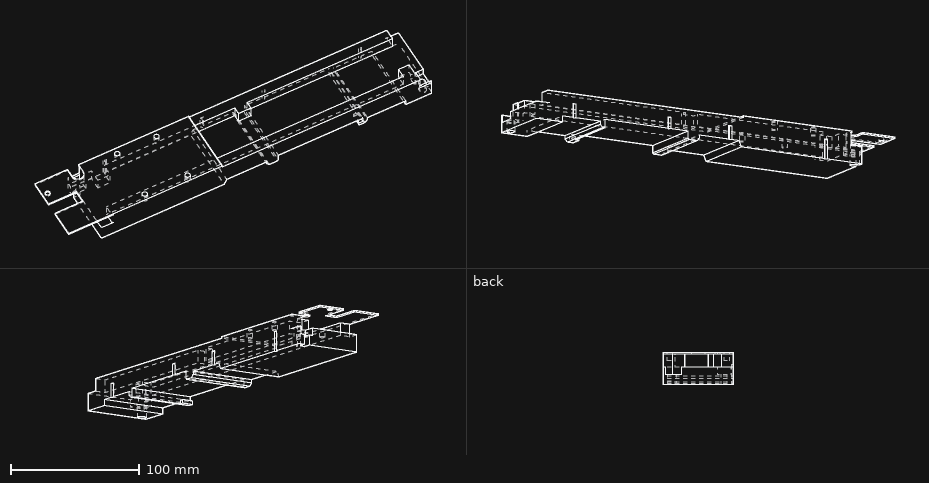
import cadquery as cq

WIDTH = 55.0
LENGTH = 323.5
HEIGHT = 25.2

BASE_FRONT = 29.0
BASE_TOP = 14.0
CORNER_RADIUS = 1.3

PLATE_THICKNESS = 1.3
WALL_TOP = HEIGHT - PLATE_THICKNESS
WALL_WIDTH = 9.5
WALL_FRONT = 38.8
WALL_REAR = 313.0

LEFT_PAD_REACH = 15.5
LEFT_PAD_Y = (172.7, 183.7)
FRONT_PAD_REACH = 19.7
FRONT_PAD_Y = (45.3, 56.3)
REAR_PAD_REACH = 17.0
REAR_PAD_Y = (302.5, 312.0)

LOW_RELIEF = 5.0
HIGH_RELIEF = 6.8
REAR_FOOT_FRONT = 299.7
FOOT_A_Y = (261.5, 265.8)
FOOT_B_Y = (176.2, 186.5)
FRONT_FOOT_REAR = 140.5
FOOT_CHAMFER = 2.3
FOOT_B_REAR_CHAMFER = 1.0
TOE_FRONT = 258.5
TOE_HEIGHT = 3.0

GROOVE_CENTERS = (62.0, 148.5, 203.5, 289.0)
GROOVE_WIDTH = 3.0
GROOVE_DEPTH = 1.5
GROOVE_TOP = 16.0

PLATE_REAR = 136.8
NOTCH_X = (22.3, 32.5)
NOTCH_DEPTH = 25.0
PLATE_HOLE = (12.5, 4.5)
PLATE_HOLE_DIAMETER = 4.0
SCREW_INSET = 5.2
SCREW_DIAMETER = 4.2
SCREW_DEPTH = 6.5
SCREW_FRONT_Y = 70.5
SCREW_LEFT_REAR_Y = 105.5
SCREW_RIGHT_REAR_Y = 108.5

LUG_FLOOR = 8.0
LUG_RIM = 2.0
FRONT_LUG_REACH = 12.5
FRONT_LUG_RADIUS = (WALL_FRONT - BASE_FRONT) / 2
FRONT_SLOT_X = 7.5
FRONT_SLOT_WIDTH = 5.0
FRONT_SLOT_REAR = 36.0
REAR_LUG_X = (40.5, WIDTH - LUG_RIM)
REAR_LUG_CORNER_X = 47.5
REAR_SLOT_CENTER = (48.0, 318.5)
REAR_SLOT_LENGTH = 7.0
REAR_SLOT_WIDTH = 5.5


def block(x_range, y_range, z_range):
    """Axis-aligned box given by its lower and upper limits."""
    return (
        cq.Workplane("XY", origin=(x_range[0], y_range[0], z_range[0]))
        .box(
            x_range[1] - x_range[0],
            y_range[1] - y_range[0],
            z_range[1] - z_range[0],
            centered=False,
        )
    )


def make_base():
    """Footed side profile swept across the width, with rounded end corners and a toe at one foot."""
    outline = [
        (BASE_FRONT, 0),
        (FRONT_FOOT_REAR - FOOT_CHAMFER, 0),
        (FRONT_FOOT_REAR, LOW_RELIEF),
        (FOOT_B_Y[0], LOW_RELIEF),
        (FOOT_B_Y[0], FOOT_CHAMFER),
        (FOOT_B_Y[0] + FOOT_CHAMFER, 0),
        (FOOT_B_Y[1] - FOOT_B_REAR_CHAMFER, 0),
        (FOOT_B_Y[1], FOOT_B_REAR_CHAMFER),
        (FOOT_B_Y[1], HIGH_RELIEF),
        (FOOT_A_Y[0], HIGH_RELIEF),
        (FOOT_A_Y[0], 0),
        (FOOT_A_Y[1] - FOOT_CHAMFER, 0),
        (FOOT_A_Y[1], FOOT_CHAMFER),
        (FOOT_A_Y[1], LOW_RELIEF),
        (REAR_FOOT_FRONT, LOW_RELIEF),
        (REAR_FOOT_FRONT, 0),
        (LENGTH, 0),
        (LENGTH, BASE_TOP),
        (BASE_FRONT, BASE_TOP),
    ]
    base = cq.Workplane("YZ").polyline(outline).close().extrude(WIDTH)
    base = base.edges("|Z and (<Y or >Y)").fillet(CORNER_RADIUS)
    toe_y = (TOE_FRONT, FOOT_A_Y[1] - FOOT_CHAMFER)
    toe = block((WIDTH - WALL_WIDTH, WIDTH), toe_y, (0, TOE_HEIGHT))
    return base.union(toe)


def make_walls():
    """Two long side walls with rounded outer corners, and the pads on their inner faces."""
    height = (BASE_TOP, WALL_TOP)
    left = block((0, WALL_WIDTH), (WALL_FRONT, WALL_REAR), height)
    right = block((WIDTH - WALL_WIDTH, WIDTH), (WALL_FRONT, WALL_REAR), height)
    left = left.edges("|Z and <X").fillet(CORNER_RADIUS)
    right = right.edges("|Z and >X").fillet(CORNER_RADIUS)
    left_pad = block((0, LEFT_PAD_REACH), LEFT_PAD_Y, height)
    front_pad = block((0, FRONT_PAD_REACH), FRONT_PAD_Y, height)
    rear_pad = block((WIDTH - REAR_PAD_REACH, WIDTH - WALL_WIDTH), REAR_PAD_Y, height)
    return left.union(right).union(left_pad).union(front_pad).union(rear_pad)


def make_plate():
    """Thin cover plate overhanging the front, with a notch and a small hole."""
    heights = (WALL_TOP, HEIGHT)
    plate = block((0, WIDTH), (0, PLATE_REAR), heights)
    plate = plate.cut(block(NOTCH_X, (0, NOTCH_DEPTH), heights))
    hole = (
        cq.Workplane("XY", origin=(0, 0, WALL_TOP))
        .center(*PLATE_HOLE)
        .circle(PLATE_HOLE_DIAMETER / 2)
        .extrude(PLATE_THICKNESS)
    )
    return plate.cut(hole)


def screw_holes():
    """Four blind holes through the cover plate into the walls."""
    left_x = SCREW_INSET
    right_x = WIDTH - SCREW_INSET
    points = [
        (left_x, SCREW_FRONT_Y),
        (right_x, SCREW_FRONT_Y),
        (left_x, SCREW_LEFT_REAR_Y),
        (right_x, SCREW_RIGHT_REAR_Y),
    ]
    return (
        cq.Workplane("XY", origin=(0, 0, HEIGHT - SCREW_DEPTH))
        .pushPoints(points)
        .circle(SCREW_DIAMETER / 2)
        .extrude(SCREW_DEPTH)
    )


def side_grooves():
    """Upright V-shaped grooves in the left face, open at the underside."""
    half_width = GROOVE_WIDTH / 2
    grooves = cq.Workplane("XY")
    for center in GROOVE_CENTERS:
        section = [(0, center - half_width), (GROOVE_DEPTH, center), (0, center + half_width)]
        grooves = grooves.union(cq.Workplane("XY").polyline(section).close().extrude(GROOVE_TOP))
    return grooves


def front_lug():
    """Rounded opening in the plate, sunk floor below it and an open screw slot."""
    center_x = FRONT_LUG_REACH - FRONT_LUG_RADIUS
    center_y = BASE_FRONT + FRONT_LUG_RADIUS
    opening = block((0, center_x), (BASE_FRONT, WALL_FRONT), (WALL_TOP, HEIGHT))
    opening_end = (
        cq.Workplane("XY", origin=(center_x, center_y, WALL_TOP))
        .circle(FRONT_LUG_RADIUS)
        .extrude(PLATE_THICKNESS)
    )
    sunk = block((LUG_RIM, FRONT_LUG_REACH), (BASE_FRONT, WALL_FRONT), (LUG_FLOOR, BASE_TOP))
    slot_radius = FRONT_SLOT_WIDTH / 2
    slot_center_y = FRONT_SLOT_REAR - slot_radius
    slot = block(
        (FRONT_SLOT_X - slot_radius, FRONT_SLOT_X + slot_radius),
        (BASE_FRONT, slot_center_y),
        (0, BASE_TOP),
    )
    slot_end = (
        cq.Workplane("XY", origin=(FRONT_SLOT_X, slot_center_y, 0))
        .circle(slot_radius)
        .extrude(BASE_TOP)
    )
    return opening.union(opening_end).union(sunk).union(slot).union(slot_end)


def rear_lug():
    """Sunk floor open to the rear end, with an oval screw hole through it."""
    sunk = block(REAR_LUG_X, (WALL_REAR, LENGTH), (LUG_FLOOR, BASE_TOP))
    relief = block(
        (REAR_LUG_X[0], REAR_LUG_CORNER_X),
        (REAR_PAD_Y[1], WALL_REAR),
        (LUG_FLOOR, WALL_TOP),
    )
    oval = (
        cq.Workplane("XY")
        .center(*REAR_SLOT_CENTER)
        .slot2D(REAR_SLOT_LENGTH, REAR_SLOT_WIDTH)
        .extrude(BASE_TOP)
    )
    return sunk.union(relief).union(oval)


body = make_base().union(make_walls()).union(make_plate())
for cutter in (screw_holes(), side_grooves(), front_lug(), rear_lug()):
    body = body.cut(cutter)
result = body